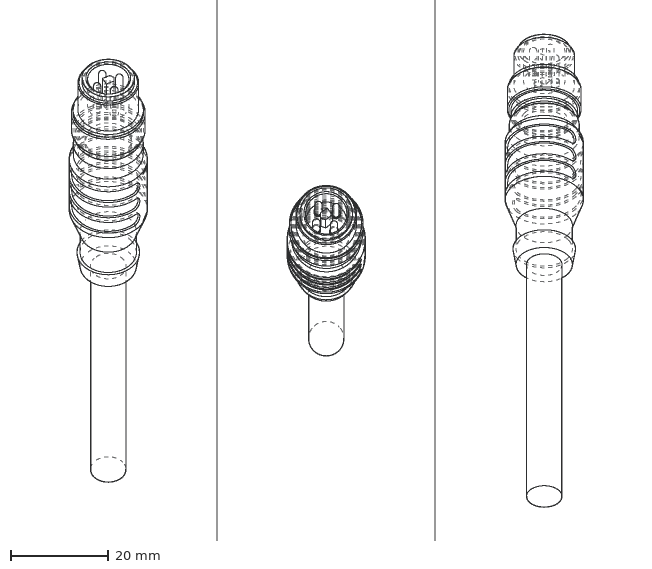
import cadquery as cq
import math

TOTAL_LENGTH = 115.5

LIP_R = 5.4
LIP_WAIST_R = 5.1
SHELL_R = 12.5 / 2
COLLAR_R = 7.6
COLLAR_RIM_R = 7.25
COLLAR_SHOULDER_R = 6.85
NECK_R = 9.6 / 2
GRIP_TOP_R = 7.2
GRIP_R = 8.05
GROOVE_R = 7.55
SLEEVE_R = 5.8
CUFF_R = 6.45
CABLE_R = 3.65

LIP_BOTTOM_Z = TOTAL_LENGTH - 1.25
SHELL_CHAMFER = 0.25
COLLAR_RIM_TOP_Z = TOTAL_LENGTH - 9.2
COLLAR_TOP_Z = COLLAR_RIM_TOP_Z - 0.75
COLLAR_BOTTOM_Z = TOTAL_LENGTH - 15.6
COLLAR_CHAMFER = 0.3
SHOULDER_BOTTOM_Z = COLLAR_BOTTOM_Z - 1.6
FLANGE_BOTTOM_Z = TOTAL_LENGTH - 18.2
FLANGE_CHAMFER = 0.25
GRIP_TOP_Z = TOTAL_LENGTH - 19.25
GRIP_CONE_Z = TOTAL_LENGTH - 22.4
GRIP_FULL_Z = TOTAL_LENGTH - 23.8
GRIP_BOTTOM_Z = TOTAL_LENGTH - 38.8
SLEEVE_TOP_Z = TOTAL_LENGTH - 45.4
CUFF_TOP_Z = TOTAL_LENGTH - 51.4
CUFF_BOTTOM_Z = TOTAL_LENGTH - 55.5

GROOVE_COUNT = 3
GROOVE_WIDTH = 3.15
GROOVE_PITCH = 4.52
TOP_GROOVE_Z = TOTAL_LENGTH - 26.85
FLAT_ANGLES = (45, 225)
GROOVE_END_ANGLE = 31
FLAT_DISTANCE = 7.89
FLAT_TOP_Z = TOTAL_LENGTH - 24.5
FLAT_LENGTH = 14.0

SOCKET_R = 4.25
SOCKET_DEPTH = 8.0
SOCKET_FLOOR_Z = TOTAL_LENGTH - SOCKET_DEPTH
SOCKET_CHAMFER = 0.35
PIN_CIRCLE_R = 2.6
PIN_COUNT = 4
PIN_R = 1.5 / 2
PIN_COLLAR_R = 1.8 / 2
PIN_COLLAR_HEIGHT = 1.0
PIN_RECESS = 0.4
POST_WIDTH = 1.8
POST_RECESS = 0.5
POST_SHOULDER_Y = 0.85
POST_PEAK_Y = 1.4


def turned_body():
    """Cable, strain relief, grip, coupling collar and shell as one turned shape."""
    below_lip = [
        (0, 0),
        (CABLE_R, 0),
        (CABLE_R, CUFF_BOTTOM_Z),
        (SLEEVE_R, CUFF_BOTTOM_Z),
        (CUFF_R, CUFF_TOP_Z),
        (SLEEVE_R, CUFF_TOP_Z),
        (SLEEVE_R, SLEEVE_TOP_Z),
        (GRIP_R, GRIP_BOTTOM_Z),
        (GRIP_R, GRIP_FULL_Z),
        (GRIP_TOP_R, GRIP_CONE_Z),
        (GRIP_TOP_R, GRIP_TOP_Z),
        (NECK_R, GRIP_TOP_Z),
        (NECK_R, FLANGE_BOTTOM_Z),
        (SHELL_R - FLANGE_CHAMFER, FLANGE_BOTTOM_Z),
        (SHELL_R, FLANGE_BOTTOM_Z + FLANGE_CHAMFER),
        (SHELL_R, SHOULDER_BOTTOM_Z),
        (COLLAR_SHOULDER_R, SHOULDER_BOTTOM_Z),
        (COLLAR_SHOULDER_R, COLLAR_BOTTOM_Z),
        (COLLAR_R - COLLAR_CHAMFER, COLLAR_BOTTOM_Z),
        (COLLAR_R, COLLAR_BOTTOM_Z + COLLAR_CHAMFER),
        (COLLAR_R, COLLAR_TOP_Z - COLLAR_CHAMFER),
        (COLLAR_R - COLLAR_CHAMFER, COLLAR_TOP_Z),
        (COLLAR_RIM_R, COLLAR_TOP_Z),
        (COLLAR_RIM_R, COLLAR_RIM_TOP_Z),
        (SHELL_R, COLLAR_RIM_TOP_Z),
        (SHELL_R, LIP_BOTTOM_Z - SHELL_CHAMFER),
        (SHELL_R - SHELL_CHAMFER, LIP_BOTTOM_Z),
        (LIP_R, LIP_BOTTOM_Z),
    ]
    lip_middle_z = (LIP_BOTTOM_Z + TOTAL_LENGTH) / 2
    return (
        cq.Workplane("XZ")
        .polyline(below_lip)
        .threePointArc((LIP_WAIST_R, lip_middle_z), (LIP_R, TOTAL_LENGTH))
        .lineTo(0, TOTAL_LENGTH)
        .close()
        .revolve(360, (0, 0), (0, 1))
    )


def grip_groove(center_z):
    """Groove around the grip, broken by a plain strip with round ends at each grip flat."""
    half_width = GROOVE_WIDTH / 2
    reach = 2 * GRIP_R
    center = cq.Vector(0, 0, center_z)
    bottom = cq.Workplane("XY", origin=(0, 0, center_z - half_width))
    groove = bottom.circle(reach).extrude(GROOVE_WIDTH)
    ends = []
    for flat_angle in FLAT_ANGLES:
        directions = []
        for side in (-1, 1):
            angle = math.radians(flat_angle + side * GROOVE_END_ANGLE)
            directions.append(cq.Vector(math.cos(angle), math.sin(angle), 0))
        corners = [(d.x * reach, d.y * reach) for d in directions]
        groove = groove.cut(bottom.polyline([(0, 0)] + corners).close().extrude(GROOVE_WIDTH))
        ends += [cq.Solid.makeCylinder(half_width, reach, center, d) for d in directions]
    for end in ends:
        groove = groove.union(cq.Workplane(end))
    return groove.cut(bottom.circle(GROOVE_R).extrude(GROOVE_WIDTH))


def grip_flat(angle):
    """Block that shaves a flat facing the given angle off the grip."""
    width = 2 * GRIP_R
    return (
        cq.Workplane("XY")
        .box(GRIP_R, width, FLAT_LENGTH, centered=(False, True, False))
        .translate((FLAT_DISTANCE, 0, FLAT_TOP_Z - FLAT_LENGTH))
        .rotate((0, 0, 0), (0, 0, 1), angle)
    )


def socket():
    """Round socket with a chamfered mouth."""
    return (
        cq.Workplane("XY", origin=(0, 0, SOCKET_FLOOR_Z))
        .circle(SOCKET_R)
        .extrude(SOCKET_DEPTH)
        .faces(">Z")
        .workplane(offset=-SOCKET_CHAMFER)
        .circle(SOCKET_R)
        .workplane(offset=SOCKET_CHAMFER)
        .circle(SOCKET_R + SOCKET_CHAMFER)
        .loft()
    )


def contact_pin():
    """Round-tipped pin on a short collar, standing on the socket floor."""
    tip_z = TOTAL_LENGTH - PIN_RECESS
    collar_top_z = SOCKET_FLOOR_Z + PIN_COLLAR_HEIGHT
    return (
        cq.Workplane("XZ")
        .moveTo(0, SOCKET_FLOOR_Z)
        .lineTo(PIN_COLLAR_R, SOCKET_FLOOR_Z)
        .lineTo(PIN_COLLAR_R, collar_top_z)
        .lineTo(PIN_R, collar_top_z)
        .lineTo(PIN_R, tip_z - PIN_R)
        .radiusArc((0, tip_z), -PIN_R)
        .close()
        .revolve(360, (0, 0), (0, 1))
    )


def center_post():
    """Square post whose +Y side is pointed like a roof."""
    half = POST_WIDTH / 2
    outline = [
        (-half, -half),
        (half, -half),
        (half, POST_SHOULDER_Y),
        (0, POST_PEAK_Y),
        (-half, POST_SHOULDER_Y),
    ]
    return (
        cq.Workplane("XY", origin=(0, 0, SOCKET_FLOOR_Z))
        .polyline(outline)
        .close()
        .extrude(SOCKET_DEPTH - POST_RECESS)
    )


result = turned_body()
for groove_index in range(GROOVE_COUNT):
    result = result.cut(grip_groove(TOP_GROOVE_Z - groove_index * GROOVE_PITCH))
for flat_angle in FLAT_ANGLES:
    result = result.cut(grip_flat(flat_angle))
result = result.cut(socket()).union(center_post())
for pin_index in range(PIN_COUNT):
    pin = contact_pin().translate((PIN_CIRCLE_R, 0, 0))
    result = result.union(pin.rotate((0, 0, 0), (0, 0, 1), pin_index * 360 / PIN_COUNT))